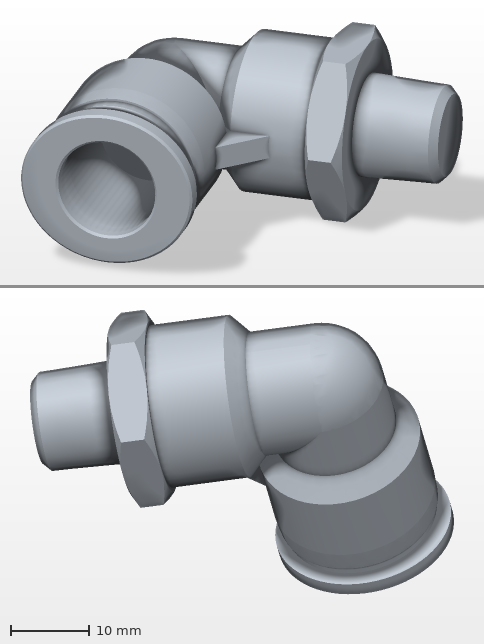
import cadquery as cq
import math


overall_length = 48.5
flange_width = 22.95
stud_end = overall_length - flange_width / 2

neck_radius = 8.0
swivel_radius = 21.0 / 2
swivel_neck_end = 8.4
swivel_shoulder = 10.75
swivel_end = 20.95
socket_radius = 21.2 / 2
socket_shoulder = 11.1
socket_round_start = 21.0
socket_end = 23.95
socket_end_radius = 10.4
rib_thickness = 3.1
rib_reach = 26.45

hex_across_flats = 22.2
hex_corner_diameter = hex_across_flats / math.cos(math.radians(30))
hex_length = 5.0
hex_chamfer_angle = 30
stud_root_radius = 6.75
stud_tip_radius = 6.4
stud_tip_chamfer = 1.0

lip_radius = 20.0 / 2
lip_end = 25.55
lip_chamfer = 0.25
barrel_radius = 14.8 / 2
flange_height = 20.55
flange_start = 27.1
flange_end = 29.35
flange_chamfer = 0.3
bore_radius = 13.0 / 2
bore_chamfer = 0.3
bore_floor = socket_shoulder


def turned_about_x(points):
    """Revolve a closed (x, radius) outline about the X axis."""
    return cq.Workplane("XY").polyline(points).close().revolve(360, (0, 0, 0), (1, 0, 0))


def cylinder_along_y(radius, near, far):
    """Cylinder on the tube arm, between two distances from the elbow corner."""
    return cq.Workplane("XZ", origin=(0, -near, 0)).circle(radius).extrude(far - near)


def make_stud_arm():
    return turned_about_x([
        (0, 0),
        (0, neck_radius),
        (swivel_neck_end, neck_radius),
        (swivel_shoulder, swivel_radius),
        (swivel_end, swivel_radius),
        (swivel_end, 0),
    ])


def make_tube_arm():
    neck_end = socket_shoulder - (socket_radius - neck_radius)
    return (
        cq.Workplane("XY")
        .moveTo(0, 0)
        .lineTo(neck_radius, 0)
        .lineTo(neck_radius, -neck_end)
        .lineTo(socket_radius, -socket_shoulder)
        .lineTo(socket_radius, -socket_round_start)
        .tangentArcPoint((socket_end_radius, -socket_end), relative=False)
        .lineTo(0, -socket_end)
        .close()
        .revolve(360, (0, 0, 0), (0, 1, 0))
    )


def make_rib():
    """Triangular web filling the inside corner between the arms."""
    inner = neck_radius
    outer = rib_reach - inner
    return (
        cq.Workplane("XY", origin=(0, 0, -rib_thickness / 2))
        .polyline([(inner, -inner), (outer, -inner), (inner, -outer)])
        .close()
        .extrude(rib_thickness)
    )


def make_corner_ball():
    """Ball that rounds the outer corner where the two necks meet."""
    return cq.Workplane("XY").sphere(neck_radius)


def make_housing():
    housing = make_stud_arm().union(make_tube_arm()).union(make_corner_ball()).union(make_rib())
    bore = cylinder_along_y(bore_radius, bore_floor, socket_end)
    return housing.cut(bore)


def make_hex():
    hexagon = (
        cq.Workplane("YZ", origin=(swivel_end, 0, 0))
        .polygon(6, hex_corner_diameter)
        .extrude(hex_length)
    )
    face_radius = hex_across_flats / 2
    corner_radius = hex_corner_diameter / 2
    chamfer_length = (corner_radius - face_radius) * math.tan(math.radians(hex_chamfer_angle))
    hex_end = swivel_end + hex_length
    chamfer_envelope = turned_about_x([
        (swivel_end, 0),
        (swivel_end, face_radius),
        (swivel_end + chamfer_length, corner_radius),
        (hex_end - chamfer_length, corner_radius),
        (hex_end, face_radius),
        (hex_end, 0),
    ])
    return hexagon.intersect(chamfer_envelope)


def make_stud():
    hex_end = swivel_end + hex_length
    thread = turned_about_x([
        (hex_end, 0),
        (hex_end, stud_root_radius),
        (stud_end - stud_tip_chamfer, stud_tip_radius),
        (stud_end, stud_tip_radius - stud_tip_chamfer),
        (stud_end, 0),
    ])
    return make_hex().union(thread)


def make_sleeve():
    lip = cylinder_along_y(lip_radius, socket_end, lip_end).faces("<Y").chamfer(lip_chamfer)
    barrel = cylinder_along_y(barrel_radius, lip_end, flange_start)
    flange = (
        cq.Workplane("XZ", origin=(0, -flange_start, 0))
        .ellipse(flange_width / 2, flange_height / 2)
        .extrude(flange_end - flange_start)
        .faces("<Y")
        .chamfer(flange_chamfer)
    )
    bore = cylinder_along_y(bore_radius, socket_end, flange_end)
    sleeve = lip.union(barrel).union(flange).cut(bore)
    return sleeve.faces("<Y").edges("%CIRCLE").chamfer(bore_chamfer)


housing = make_housing()
stud = make_stud()
sleeve = make_sleeve()

result = cq.Compound.makeCompound([housing.val(), stud.val(), sleeve.val()])